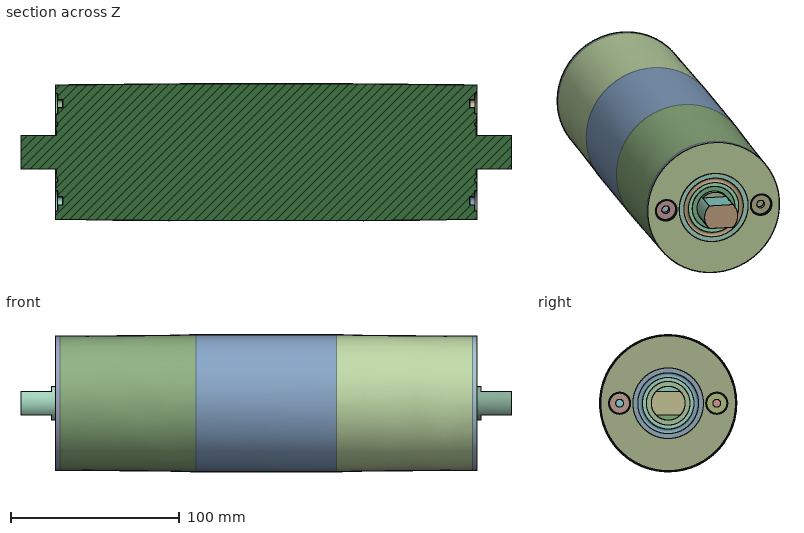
import cadquery as cq

total_length = 291.0
barrel_length = 250.3
crown_diameter = 81.5
end_diameter = 80.0
cap_rim_width = 3.0

shaft_diameter = 20.0
flat_thickness = 14.0
flat_length = 18.0

bushing_diameter = 26.0
bushing_depth = 0.5
bead_groove_inner_diameter = 30.5
bead_groove_outer_diameter = 36.0
bead_groove_depth = 1.2
cover_diameter = 42.0
cover_depth = 0.3

screw_offset = 28.8
screw_seat_diameter = 13.0
screw_seat_depth = 0.3
screw_recess_diameter = 12.0
screw_recess_depth = 1.5
screw_socket_diameter = 4.7
screw_socket_depth = 4.5

half_total = total_length / 2
half_barrel = barrel_length / 2
half_crown = half_barrel / 3
rim_inner = half_barrel - cap_rim_width
cover_face = -half_barrel + cover_depth


def disc(diameter, start, length, y=0):
    """Cylinder along X that starts at the given X position."""
    return cq.Workplane("YZ", origin=(start, y, 0)).circle(diameter / 2).extrude(length)


def make_barrel():
    """Crowned barrel: a cylindrical middle third, tapered outer thirds and plain cap rims."""
    crown_radius = crown_diameter / 2
    end_radius = end_diameter / 2
    profile = (
        cq.Workplane("XY")
        .moveTo(-half_barrel, 0)
        .lineTo(-half_barrel, end_radius)
        .lineTo(-rim_inner, end_radius)
        .lineTo(-half_crown, crown_radius)
        .lineTo(half_crown, crown_radius)
        .lineTo(rim_inner, end_radius)
        .lineTo(half_barrel, end_radius)
        .lineTo(half_barrel, 0)
        .close()
    )
    return profile.revolve(360, (0, 0, 0), (1, 0, 0))


def make_bead_groove():
    """Rounded groove around the shaft, sunk into the cover at the -X end."""
    inner_radius = bead_groove_inner_diameter / 2
    outer_radius = bead_groove_outer_diameter / 2
    middle_radius = (inner_radius + outer_radius) / 2
    profile = (
        cq.Workplane("XY")
        .moveTo(cover_face, inner_radius)
        .threePointArc((cover_face + bead_groove_depth, middle_radius), (cover_face, outer_radius))
        .close()
    )
    return profile.revolve(360, (0, 0, 0), (1, 0, 0))


def both_ends(shape):
    """The shape at the -X end together with its mirror image at the +X end."""
    return shape.union(shape.mirror("YZ"))


result = make_barrel()

result = result.cut(both_ends(disc(cover_diameter, -half_barrel, cover_depth)))
result = result.cut(both_ends(disc(bushing_diameter, -half_barrel, bushing_depth)))
result = result.cut(both_ends(make_bead_groove()))

screw_steps = (
    (screw_seat_diameter, screw_seat_depth),
    (screw_recess_diameter, screw_recess_depth),
    (screw_socket_diameter, screw_socket_depth),
)
for y in (-screw_offset, screw_offset):
    for diameter, depth in screw_steps:
        result = result.cut(both_ends(disc(diameter, -half_barrel, depth, y)))

shaft = disc(shaft_diameter, -half_total, total_length)
for side in (-1, 1):
    flat_cut = cq.Workplane("XY").box(flat_length, shaft_diameter, shaft_diameter).translate(
        (-half_total + flat_length / 2, 0, side * (flat_thickness + shaft_diameter) / 2)
    )
    shaft = shaft.cut(both_ends(flat_cut))
result = result.union(shaft)